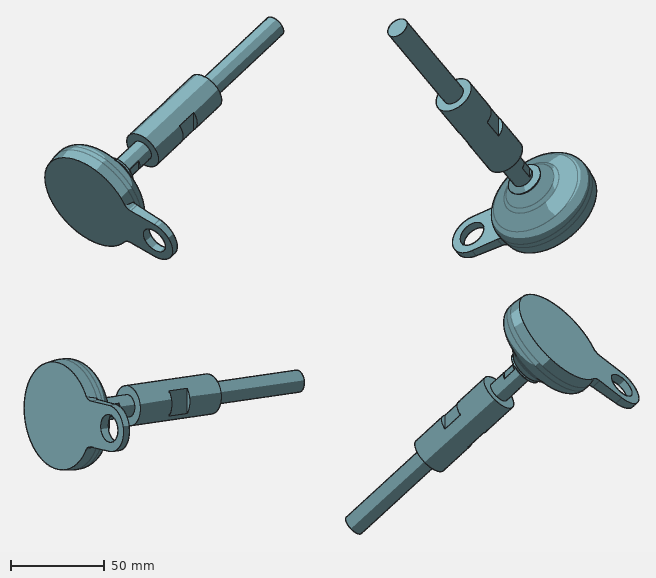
import cadquery as cq
import math


base_radius = 29.2
rim_radius = 30.0
rim_start = 6.0
rim_end = 9.0
shoulder_radius = 6.8
slope_angle = math.radians(64)
slope_end = 19.5
neck_radius = 14.8
neck_start = 21.2
foot_top_radius = 9.5
foot_height = 26.2

lug_end_x = 58.0
lug_half_width = 12.5
lug_center_x = lug_end_x - lug_half_width
lug_hole_radius = 7.5
lug_blend_radius = 5.0
lug_root_height = 5.5
lug_tip_height = 4.0

spindle_radius = 6.0
spindle_end = 163.0
flange_radius = 10.0
flange_edge = 27.2
flange_top = 28.7
spindle_flat_start = 30.2
spindle_flat_end = 38.0
spindle_flat_half_width = 5.0

sleeve_radius = 11.0
sleeve_start = 48.0
sleeve_length = 55.0
sleeve_flat_length = 12.2
sleeve_flat_half_width = 8.5


def cut_flats(body, half_width, radius, start, end):
    """Cut two parallel wrench flats that face -X and +X."""
    depth = radius - half_width
    for side in (-1, 1):
        cutter = (
            cq.Workplane("XY")
            .box(depth, end - start, 2 * radius)
            .translate((side * (half_width + depth / 2), (start + end) / 2, 0))
        )
        body = body.cut(cutter)
    return body


def make_foot_body():
    """Revolved bell with a drafted wall, rounded shoulder and conical neck."""
    shoulder_center_x = rim_radius - shoulder_radius

    def shoulder_point(angle):
        return (
            shoulder_center_x + shoulder_radius * math.cos(angle),
            rim_end + shoulder_radius * math.sin(angle),
        )

    slope_start_x, slope_start_y = shoulder_point(slope_angle)
    slope_end_x = slope_start_x - (slope_end - slope_start_y) * math.tan(slope_angle)
    neck_slope = (neck_radius - foot_top_radius, neck_start - foot_height)
    profile = (
        cq.Workplane("XY")
        .lineTo(base_radius, 0)
        .lineTo(rim_radius, rim_start)
        .lineTo(rim_radius, rim_end)
        .threePointArc(shoulder_point(slope_angle / 2), (slope_start_x, slope_start_y))
        .lineTo(slope_end_x, slope_end)
        .spline(
            [(neck_radius, neck_start)],
            tangents=[
                (-math.sin(slope_angle), math.cos(slope_angle)),
                (-neck_slope[0], -neck_slope[1]),
            ],
            includeCurrent=True,
        )
        .lineTo(foot_top_radius, foot_height)
        .lineTo(0, foot_height)
        .close()
    )
    return profile.revolve(360, (0, 0, 0), (0, 1, 0))


def make_lug():
    """Tapered lug, blended into the foot by a concave arc on each side."""
    blend_z = lug_half_width + lug_blend_radius
    blend_reach = base_radius + lug_blend_radius
    blend_x = math.sqrt(blend_reach**2 - blend_z**2)
    root_x = blend_x * base_radius / blend_reach
    root_z = blend_z * base_radius / blend_reach
    root_angle = math.atan2(-blend_z, -blend_x)
    middle_angle = (root_angle - math.pi / 2) / 2
    middle_x = blend_x + lug_blend_radius * math.cos(middle_angle)
    middle_z = blend_z + lug_blend_radius * math.sin(middle_angle)

    outline = (
        cq.Workplane("XZ")
        .lineTo(root_x, root_z)
        .threePointArc((middle_x, middle_z), (blend_x, lug_half_width))
        .lineTo(lug_center_x, lug_half_width)
        .threePointArc((lug_end_x, 0), (lug_center_x, -lug_half_width))
        .lineTo(blend_x, -lug_half_width)
        .threePointArc((middle_x, -middle_z), (root_x, -root_z))
        .close()
        .extrude(-foot_height)
    )
    taper = (lug_root_height - lug_tip_height) / (lug_end_x - rim_radius)
    axis_height = lug_root_height + taper * rim_radius
    side_profile = (
        cq.Workplane("XY")
        .polyline([(0, 0), (lug_end_x, 0), (lug_end_x, lug_tip_height), (0, axis_height)])
        .close()
        .extrude(rim_radius, both=True)
    )
    hole = (
        cq.Workplane("XZ")
        .center(lug_center_x, 0)
        .circle(lug_hole_radius)
        .extrude(-foot_height)
    )
    return outline.intersect(side_profile).cut(hole)


def make_foot():
    return make_foot_body().union(make_lug())


def make_spindle():
    """Long rod standing on the foot by a double-cone flange."""
    spindle = (
        cq.Workplane("XY")
        .moveTo(0, foot_height)
        .lineTo(foot_top_radius, foot_height)
        .lineTo(flange_radius, flange_edge)
        .lineTo(spindle_radius, flange_top)
        .lineTo(spindle_radius, spindle_end)
        .lineTo(0, spindle_end)
        .close()
        .revolve(360, (0, 0, 0), (0, 1, 0))
    )
    return cut_flats(
        spindle, spindle_flat_half_width, spindle_radius, spindle_flat_start, spindle_flat_end
    )


def make_sleeve():
    """Round sleeve on the rod, with wrench flats at mid-length."""
    sleeve = (
        cq.Workplane("XZ", origin=(0, sleeve_start, 0))
        .circle(sleeve_radius)
        .circle(spindle_radius)
        .extrude(-sleeve_length)
    )
    flat_start = sleeve_start + (sleeve_length - sleeve_flat_length) / 2
    flat_end = flat_start + sleeve_flat_length
    return cut_flats(sleeve, sleeve_flat_half_width, sleeve_radius, flat_start, flat_end)


foot = make_foot()
spindle = make_spindle()
sleeve = make_sleeve()
result = cq.Compound.makeCompound(
    [foot.solids().val(), spindle.solids().val(), sleeve.solids().val()]
)